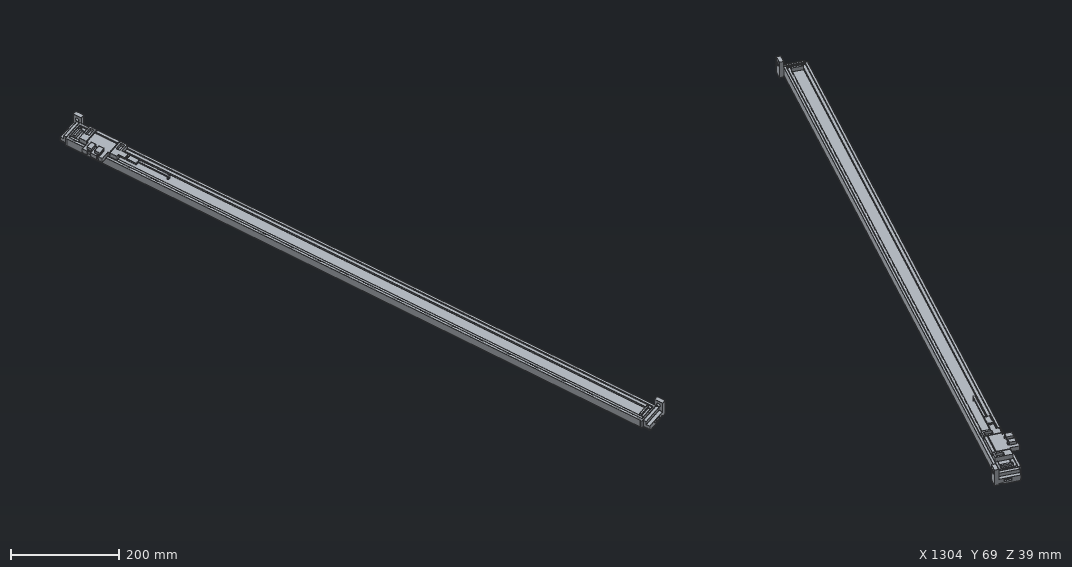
import cadquery as cq

LENGTH = 1304.0
WIDTH = 69.0
HEIGHT = 39.0

RAIL_Y = 37.0
RAIL_WIDTH = 47.0
RAIL_BOTTOM = 3.0
RAIL_TOP = 22.0
RAIL_INSET = 18.0
LEDGE_WIDTH = 37.0
LEDGE_DEPTH = 3.0
CHANNEL_WIDTH = 23.0
CHANNEL_DEPTH = 7.0

FLANGE_LENGTH = RAIL_INSET
FLANGE_THICKNESS = 9.0
FLANGE_FRONT = WIDTH - FLANGE_THICKNESS
FLANGE_HEIGHT = 37.0
FLANGE_HOLE_DIAMETER = 8.0
FLANGE_HOLE_X = 9.0
FLANGE_HOLE_Z = 26.0
CAP_FRONT = 17.0
CAP_TOP = 21.0
SHELF_LENGTH = 8.0
SHELF_TOP = 13.0
COLLAR_START = 14.0
COLLAR_PROUD = 0.7
POCKET_FRONT = 35.0
POCKET_BACK = 50.0
POCKET_BOTTOM = 5.0
POCKET_TOP = 10.0
POCKET_DEPTH = 4.0
FOOT_FRONT = 18.0
FOOT_BACK = 52.0
TONGUE_LENGTH = 27.0
STOP_LENGTH = 4.0
STOP_TOP = 25.0

CARRIAGE_START = 40.0
CARRIAGE_END = 124.0
CARRIAGE_FRONT = 20.0
CARRIAGE_BACK = 55.0
BASE_TOP = 26.0
CARRIAGE_TOP = 33.0
END_BLOCK_LENGTH = 15.0
END_POCKET_FRONT = 35.0
END_POCKET_WALL = 4.0
COVER_GAP = 1.0
COVER_GROOVE_Y = 47.0
COVER_GROOVE_WIDTH = 1.0

CLIP_START = 60.0
CLIP_LENGTH = 44.0
CLIP_THICKNESS = 7.0
CLIP_FRONT = 4.0
TAB_SPANS = ((68.0, 10.0), (85.0, 12.0))
TAB_BACK = 18.0
LUG_SPANS = ((60.0, 10.0), (78.0, 13.0), (95.0, 9.0))
CLIP_HOLE_X = 74.0
CLIP_HOLE_Y = 9.0
CLIP_HOLE_DIAMETER = 5.0

TAIL_THICKNESS = 4.0
TAIL_FRONT = 25.0
TAIL_END = 163.0
TAIL_SLOT_X = 138.0
TAIL_SLOT_LENGTH = 4.0
ARM_FRONT = 31.0
ARM_BACK = 37.0
ARM_END = 230.0
ARM_THICKNESS = 3.0


def box(x0, x1, y0, y1, z0, z1):
    """Box between two limits on each axis."""
    return cq.Workplane("XY").box(x1 - x0, y1 - y0, z1 - z0, centered=False).translate((x0, y0, z0))


def rail_slot(width, depth):
    """Full-length slot cut down from the rail top."""
    half = width / 2
    return box(0, LENGTH, RAIL_Y - half, RAIL_Y + half, RAIL_TOP - depth, RAIL_TOP)


def make_profile():
    half = RAIL_WIDTH / 2
    profile = box(RAIL_INSET, LENGTH - RAIL_INSET, RAIL_Y - half, RAIL_Y + half, RAIL_BOTTOM, RAIL_TOP)
    return profile.cut(rail_slot(LEDGE_WIDTH, LEDGE_DEPTH)).cut(rail_slot(CHANNEL_WIDTH, CHANNEL_DEPTH))


def make_flange():
    """Upright plate at the back with a screw hole above the rail."""
    flange = box(0, FLANGE_LENGTH, FLANGE_FRONT, WIDTH, 0, FLANGE_HEIGHT)
    hole = (
        cq.Workplane("XZ", origin=(FLANGE_HOLE_X, WIDTH, FLANGE_HOLE_Z))
        .circle(FLANGE_HOLE_DIAMETER / 2)
        .extrude(FLANGE_THICKNESS)
    )
    return flange.cut(hole)


def make_cap():
    """Stepped end cap with a pocketed end face, a foot below, and a collar against the rail end."""
    shelf = box(0, SHELF_LENGTH, CAP_FRONT, FLANGE_FRONT, RAIL_BOTTOM, SHELF_TOP)
    block = box(SHELF_LENGTH, COLLAR_START, CAP_FRONT, FLANGE_FRONT, RAIL_BOTTOM, CAP_TOP)
    half = RAIL_WIDTH / 2 + COLLAR_PROUD
    collar = box(COLLAR_START, RAIL_INSET, RAIL_Y - half, RAIL_Y + half, RAIL_BOTTOM, RAIL_TOP)
    foot = box(0, RAIL_INSET, FOOT_FRONT, FOOT_BACK, 0, RAIL_BOTTOM)
    pocket = box(0, POCKET_DEPTH, POCKET_FRONT, POCKET_BACK, POCKET_BOTTOM, POCKET_TOP)
    return shelf.union(block).union(collar).union(foot).cut(pocket)


def make_tongue():
    """Tongue lying in the rail channel, with a raised stop at its tip."""
    front = RAIL_Y - CHANNEL_WIDTH / 2
    back = RAIL_Y + CHANNEL_WIDTH / 2
    channel_floor = RAIL_TOP - CHANNEL_DEPTH
    tongue = box(COLLAR_START, TONGUE_LENGTH, front, back, channel_floor, CAP_TOP)
    stop = box(TONGUE_LENGTH - STOP_LENGTH, TONGUE_LENGTH, front, back, channel_floor, STOP_TOP)
    return tongue.union(stop)


def make_bracket():
    """Bracket at the X = 0 end of the rail."""
    return make_flange().union(make_cap()).union(make_tongue())


def make_rail():
    bracket = make_bracket()
    far_bracket = bracket.mirror("YZ").translate((LENGTH, 0, 0))
    return make_profile().union(bracket).union(far_bracket)


def make_end_block(start):
    """Raised block with a pocket in the back half of its top."""
    end = start + END_BLOCK_LENGTH
    block = box(start, end, CARRIAGE_FRONT, CARRIAGE_BACK, BASE_TOP, CARRIAGE_TOP)
    wall = END_POCKET_WALL
    pocket = box(start + wall, end - wall, END_POCKET_FRONT, CARRIAGE_BACK - wall, BASE_TOP, CARRIAGE_TOP)
    return block.cut(pocket)


def make_cover():
    """Plain raised cover between the end blocks, with one groove along it."""
    start = CARRIAGE_START + END_BLOCK_LENGTH + COVER_GAP
    end = CARRIAGE_END - END_BLOCK_LENGTH - COVER_GAP
    cover = box(start, end, CARRIAGE_FRONT, CARRIAGE_BACK, BASE_TOP, CARRIAGE_TOP)
    groove_back = COVER_GROOVE_Y + COVER_GROOVE_WIDTH
    groove_floor = CARRIAGE_TOP - COVER_GROOVE_WIDTH
    return cover.cut(box(start, end, COVER_GROOVE_Y, groove_back, groove_floor, CARRIAGE_TOP))


def make_slider():
    """Base plate carrying an end block at each end and the cover between them."""
    slider = box(CARRIAGE_START, CARRIAGE_END, CARRIAGE_FRONT, CARRIAGE_BACK, RAIL_TOP, BASE_TOP)
    for start in (CARRIAGE_START, CARRIAGE_END - END_BLOCK_LENGTH):
        slider = slider.union(make_end_block(start))
    return slider.union(make_cover())


def make_clip():
    """Shelf overhanging the rail front, with a hole, lugs in front, and raised tabs on the lugs."""
    clip_end = CLIP_START + CLIP_LENGTH
    clip = box(CLIP_START, clip_end, CLIP_FRONT, CARRIAGE_FRONT, RAIL_TOP, RAIL_TOP + CLIP_THICKNESS)
    for start, length in LUG_SPANS:
        clip = clip.union(box(start, start + length, 0, CARRIAGE_FRONT, RAIL_TOP, CARRIAGE_TOP))
    for start, length in TAB_SPANS:
        clip = clip.union(box(start, start + length, CLIP_FRONT, TAB_BACK, CARRIAGE_TOP, HEIGHT))
    hole = (
        cq.Workplane("XY", origin=(CLIP_HOLE_X, CLIP_HOLE_Y, RAIL_TOP))
        .circle(CLIP_HOLE_DIAMETER / 2)
        .extrude(CLIP_THICKNESS)
    )
    return clip.cut(hole)


def make_tail():
    """Plate slotted down to a thin arm whose tip turns down to the rail top level."""
    start = CARRIAGE_END
    underside = CARRIAGE_TOP - TAIL_THICKNESS
    plate = box(start, TAIL_END, TAIL_FRONT, ARM_BACK, underside, CARRIAGE_TOP)
    slot = box(TAIL_SLOT_X, TAIL_SLOT_X + TAIL_SLOT_LENGTH, TAIL_FRONT, ARM_BACK, underside, CARRIAGE_TOP)
    arm = box(start, ARM_END, ARM_FRONT, ARM_BACK, underside, underside + ARM_THICKNESS)
    tip = box(ARM_END - ARM_THICKNESS, ARM_END, ARM_FRONT, ARM_BACK, RAIL_TOP, underside)
    return plate.cut(slot).union(arm).union(tip)


rail = make_rail()
carriage = make_slider().union(make_clip()).union(make_tail())

result = cq.Compound.makeCompound([rail.val(), carriage.val()])